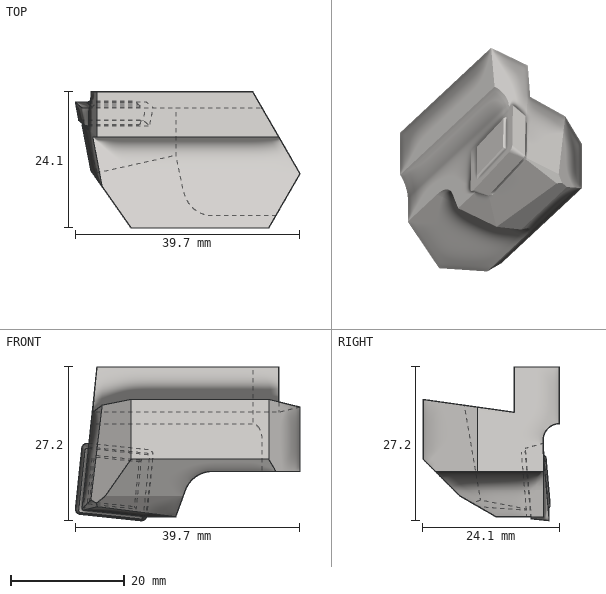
import cadquery as cq
import math


holder_height = 26.5
holder_depth = 24.1
rail_depth = 8.0
step_height = 18.5
step_rise_angle = 8.0
front_face_bottom = 10.2
lower_bevel_break = 3.65
upper_bevel_angle = 45.0
lower_bevel_angle = 30.0
gullet_top = 16.45
gullet_radius = 2.85

holder_right = 39.83
right_apex_y = -14.5
right_face_angle = 30.0
rail_left = 3.9
rail_left_angle = 6.0
front_face_left = 9.95
left_bevel_angle = 35.0

clearance_height = 8.0
heel_x = 17.85
heel_angle = 20.0
heel_radius = 5.0

insert_size = 12.7
insert_thickness = 3.18
insert_corner_radius = 1.0
insert_relief = 11.0
insert_turn = 6.0
insert_rake = 5.0
insert_corner = cq.Vector(0, -1.8, 0.52)
breaker_margin = 2.0
breaker_height = 0.35
breaker_ramp = 45.0

recess_inset = 1.4
recess_end = 10.5
recess_width = 0.77
recess_corner_radius = 0.7
recess_cutter_diameter = 4.0

side_relief = 10.0
bottom_relief = 11.0
corner_relief = 19.0
corner_bevel_point = cq.Vector(3.88, -14.0, 1.77)

reach = 100.0


def tan(angle):
    return math.tan(math.radians(angle))


def sin(angle):
    return math.sin(math.radians(angle))


def cos(angle):
    return math.cos(math.radians(angle))


along = cq.Vector(cos(insert_turn), 0, -sin(insert_turn))
inward = cq.Vector(
    -sin(insert_turn) * sin(insert_rake),
    -cos(insert_rake),
    -cos(insert_turn) * sin(insert_rake),
)
upward = inward.cross(along)
rake_plane = cq.Plane(origin=insert_corner, xDir=along, normal=inward)


def cut_beyond(body, point, outward):
    """Remove everything on the outward side of the plane through a point."""
    waste = cq.Workplane(cq.Plane(origin=point, normal=outward)).rect(2 * reach, 2 * reach).extrude(reach)
    return body.cut(waste)


def relief_direction(side, angle):
    """Outward direction of a face that leans back from an insert side."""
    return side * cos(angle) + inward * sin(angle)


def make_insert():
    middle = insert_size / 2
    breaker_size = insert_size - 2 * breaker_margin
    plate = (
        cq.Workplane(rake_plane)
        .center(middle, middle)
        .sketch()
        .rect(insert_size, insert_size)
        .vertices()
        .fillet(insert_corner_radius)
        .finalize()
        .extrude(insert_thickness, taper=insert_relief)
    )
    breaker = (
        cq.Workplane(rake_plane)
        .center(middle, middle)
        .rect(breaker_size, breaker_size)
        .extrude(-breaker_height, taper=breaker_ramp)
    )
    return plate.union(breaker)


def holder_bar():
    """Bar along X with the rail, the sloping shelf, the bevels and the gullet."""
    shelf_front = step_height + (holder_depth - rail_depth) * tan(step_rise_angle)
    break_y = -holder_depth + (front_face_bottom - lower_bevel_break) / tan(upper_bevel_angle)
    bottom_y = break_y + lower_bevel_break / tan(lower_bevel_angle)
    gullet_y = -gullet_radius
    gullet_centre_z = gullet_top - gullet_radius
    arc_middle = (-gullet_radius * sin(45), gullet_top - gullet_radius * (1 - cos(45)))
    return (
        cq.Workplane("YZ")
        .moveTo(0, holder_height)
        .lineTo(-rail_depth, holder_height)
        .lineTo(-rail_depth, step_height)
        .lineTo(-holder_depth, shelf_front)
        .lineTo(-holder_depth, front_face_bottom)
        .lineTo(break_y, lower_bevel_break)
        .lineTo(bottom_y, 0)
        .lineTo(gullet_y, 0)
        .lineTo(gullet_y, gullet_centre_z)
        .threePointArc(arc_middle, (0, gullet_top))
        .close()
        .extrude(holder_right)
    )


def heel_clearance():
    slant_top = heel_x + clearance_height * tan(heel_angle)
    return (
        cq.Workplane("XZ")
        .moveTo(heel_x, 0)
        .lineTo(slant_top, clearance_height)
        .lineTo(holder_right, clearance_height)
        .lineTo(holder_right, 0)
        .close()
        .extrude(holder_depth)
        .edges(cq.selectors.NearestToPointSelector((slant_top, -holder_depth / 2, clearance_height)))
        .fillet(heel_radius)
    )


def edge_recess():
    """L-shaped cutter path round the seat corner, with a round run-out at both ends."""
    cutter_radius = recess_cutter_diameter / 2
    outer = recess_inset - recess_cutter_diameter
    path_line = recess_inset - cutter_radius
    run_out = recess_end + cutter_radius
    corner_end = recess_inset + recess_corner_radius
    corner_middle = corner_end - recess_corner_radius * cos(45)
    return (
        cq.Workplane(rake_plane)
        .workplane(offset=insert_thickness)
        .moveTo(outer, recess_end)
        .threePointArc((path_line, run_out), (recess_inset, recess_end))
        .lineTo(recess_inset, corner_end)
        .threePointArc((corner_middle, corner_middle), (corner_end, recess_inset))
        .lineTo(recess_end, recess_inset)
        .threePointArc((run_out, path_line), (recess_end, outer))
        .lineTo(outer, outer)
        .close()
        .extrude(recess_width)
    )


def make_holder(insert):
    holder = holder_bar().cut(heel_clearance())

    right_apex = (holder_right, right_apex_y, 0)
    for side in (1, -1):
        holder = cut_beyond(holder, right_apex, cq.Vector(cos(right_face_angle), side * sin(right_face_angle), 0))

    rail_corner = (rail_left, -rail_depth, holder_height)
    holder = cut_beyond(holder, rail_corner, cq.Vector(-cos(rail_left_angle), 0, sin(rail_left_angle)))
    holder = cut_beyond(holder, rail_corner, relief_direction(-along, side_relief))
    front_left = (front_face_left, -holder_depth, 0)
    holder = cut_beyond(holder, front_left, cq.Vector(-cos(left_bevel_angle), -sin(left_bevel_angle), 0))
    holder = cut_beyond(holder, corner_bevel_point, relief_direction(-upward, bottom_relief))
    corner_side = (along + upward).normalized() * -1
    holder = cut_beyond(holder, corner_bevel_point, relief_direction(corner_side, corner_relief))

    return holder.cut(edge_recess()).cut(insert)


insert = make_insert()
holder = make_holder(insert)

result = cq.Compound.makeCompound([holder.val(), insert.val()])